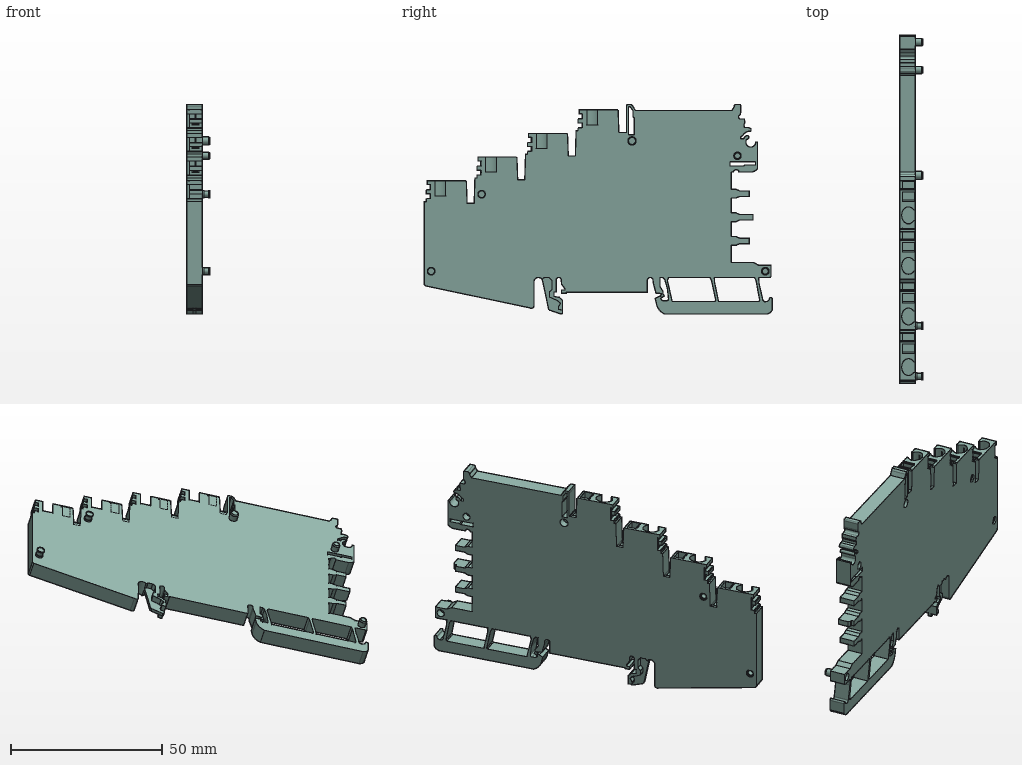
import cadquery as cq

LENGTH = 114.89
HEIGHT = 69.3
THICKNESS = 5.2
PIN_LENGTH = 2.5

TOP_EDGE = 67.3
REAR_WALL = 13.5
BODY_FLOOR = 7.2
RAIL_CEILING = 12.1
FOOT_FLOOR = 4.2

TIER_COUNT = 4
TIER_PITCH = 16.7
TIER_DROP = 7.8
TIER_TOP = 67.5
TIER_LENGTH = 14.2
TIER_CHAMFER = 0.3
SLOT_DEPTH = 7.45
WALL_DRAFT = 0.25
LATCH_FRONT = 48.15
LATCH_BEVEL = 0.15
LIP_SETBACK = 1.0
LIP_HEIGHT = 1.35
RECESS_SETBACK = 1.9
RECESS_BOTTOM = 5.9
SHOULDER_SETBACK = 0.65
SHOULDER_DROP = 6.9

SIDE_WALL = 1.04
THIN_WALL = 0.35
INNER_FACE = THICKNESS - THIN_WALL
RIDGE_TOP = 2.95
RIDGE_BOTTOM = 4.4
RIDGE_SIDE = 0.9
GRIP_BEVEL = 0.25
RECESS_DEPTH = 0.2
POCKET_REAR = 13.0
POCKET_LENGTH = 2.65
POCKET_DEPTH = 5.0
LEDGE_LENGTH = 0.5
LEDGE_DEPTH = 0.4
WIRE_HOLE_SETBACK = 5.35
WIRE_HOLE_X = 2.94
WIRE_HOLE_RADIUS_X = 2.25
WIRE_HOLE_RADIUS_Y = 2.77
WIRE_HOLE_DEPTH = 5.0
WIRE_NOTCH_WIDTH = 3.5
SLOT_POCKET_DEPTH = 1.0
SLIT_WIDTH = 0.35
WINDOW_WIDTH = 2.4
WINDOW_TOP = 4.7
WINDOW_BOTTOM = 5.05
GROOVE_DEPTH = 0.3

TINE_CENTERS = (39.8, 32.0, 24.2)
TINE_ROOT_HALF = 1.5
TINE_TIP_HALF = 0.95
TINE_TIP = 7.55
TINE_OVERLAP = 0.5
TINE_TAPER_START = 12.0
TINE_TAPER_END = 10.8
LONG_TINE_TIP = 6.3
LONG_TINE_CHAMFER = 0.65

CLIP_WEB = 1.04

PLAIN_PINS = ((46.3, 57.2, 2.8), (11.5, 52.3, 2.45), (2.3, 14.2, 2.5))
SNAP_PINS = ((95.95, 39.6), (112.6, 14.2))
PIN_TIP = 0.5
SOCKET_DEPTH = 2.8
SNAP_NECK = 2.2
SNAP_HEAD = 2.5
SNAP_BORE = 1.7
SNAP_COLLAR_LENGTH = 0.6
SNAP_HEAD_LENGTH = 0.4


def side_plane(x=0.0):
    """Profile plane at a given X; extrusion with a negative length goes towards +X."""
    return cq.Workplane(cq.Plane(origin=(x, 0, 0), xDir=(0, -1, 0), normal=(-1, 0, 0)))


def trace(start, steps):
    """Outline from points (u, v) and arcs (middle point, end point)."""
    path = side_plane().moveTo(*start)
    for step in steps:
        if isinstance(step[0], tuple):
            path = path.threePointArc(*step)
        else:
            path = path.lineTo(*step)
    return path.close()


def plate(outline):
    return outline.extrude(-THICKNESS)


def box(x0, x1, u0, u1, v0, v1):
    """Block between X, u and v limits."""
    return cq.Workplane().box(x1 - x0, u1 - u0, v1 - v0, centered=False).translate((x0, -u1, v0))


def tiers():
    """Front face and top height of each tier, from the highest; the lowest ends at the full length."""
    last = TIER_COUNT - 1
    return [(LENGTH - (last - i) * TIER_PITCH, TIER_TOP - i * TIER_DROP) for i in range(TIER_COUNT)]


def tier_steps():
    """Slot floor, tier top and stepped front face, tier by tier."""
    steps = []
    for front, top in tiers():
        rear = front - TIER_LENGTH
        floor = top - SLOT_DEPTH
        steps += [
            (rear, floor),
            (rear + WALL_DRAFT, top - TIER_CHAMFER),
            (rear + WALL_DRAFT + TIER_CHAMFER, top),
            (front - LIP_SETBACK, top),
            (front - LIP_SETBACK, top - LIP_HEIGHT),
            (front - RECESS_SETBACK, top - LIP_HEIGHT),
            (front - RECESS_SETBACK, top - RECESS_BOTTOM),
            (front - SHOULDER_SETBACK - GRIP_BEVEL, top - RECESS_BOTTOM),
            (front - SHOULDER_SETBACK, top - RECESS_BOTTOM - GRIP_BEVEL),
            (front - SHOULDER_SETBACK, top - SHOULDER_DROP),
            (front, top - SHOULDER_DROP),
        ]
        if front < LENGTH:
            steps.append((front + WALL_DRAFT, floor - TIER_DROP))
    return steps


def front_steps():
    """Sloped front underside, front rail clip and rail clearance, ending at the rear clip slot."""
    return [
        (LENGTH, 9.8),
        (114.4, 9.3),
        (80.0, 2.05),
        ((79.0, 2.1), (78.6, 2.9)),
        (78.6, 11.0),
        ((77.3, RAIL_CEILING), (75.9, 11.2)),
        (75.2, 8.0),
        (73.9, 1.75),
        (73.5, 1.3),
        (69.7, 0.0),
        (69.2, 0.3),
        (69.2, 4.55),
        (70.3, 5.6),
        (72.0, 5.9),
        (72.0, 7.3),
        (71.3, 7.3),
        (71.3, 11.3),
        ((70.5, RAIL_CEILING), (69.7, 11.3)),
        (69.6, 9.95),
        (68.5, 8.4),
        (68.5, 8.0),
        (69.65, 8.0),
        (69.65, 6.9),
        (68.0, 6.9),
        (68.0, BODY_FLOOR),
        (41.2, BODY_FLOOR),
        (41.2, 11.4),
        ((40.3, RAIL_CEILING), (39.4, 11.4)),
    ]


def foot_steps():
    """Rear clip tongue, its link to the rail foot, the foot bar and the rear arm."""
    return [
        (39.35, 10.4),
        (38.4, 6.9),
        (37.4, 6.9),
        (36.5, 6.7),
        (37.0, 6.2),
        (36.7, 5.85),
        (37.5, 5.85),
        (38.7, 5.2),
        (38.35, 3.8),
        ((37.6, 1.8), (35.5, 0.0)),
        (1.75, 0.0),
        ((0.7, 0.5), (0.0, 1.4)),
        (0.0, 5.1),
        ((0.5, 5.55), (1.0, 5.1)),
        ((1.4, 4.4), (2.1, FOOT_FLOOR)),
        ((2.8, 4.3), (3.1, 4.8)),
        (4.3, 10.0),
        (4.45, RAIL_CEILING),
        (0.8, RAIL_CEILING),
        (0.4, 12.4),
        (0.4, 16.2),
        (4.5, 16.2),
        (6.2, 17.1),
        (REAR_WALL, 17.1),
    ]


def tine(center):
    """Tapered contact tine on the rear wall."""
    root = REAR_WALL + TINE_OVERLAP
    start = (root, center + TINE_ROOT_HALF)
    return plate(
        trace(
            start,
            [
                (TINE_TAPER_START, center + TINE_ROOT_HALF),
                (TINE_TAPER_END, center + TINE_TIP_HALF),
                (TINE_TIP, center + TINE_TIP_HALF),
                (TINE_TIP, center - TINE_TIP_HALF),
                (TINE_TAPER_END, center - TINE_TIP_HALF),
                (TINE_TAPER_START, center - TINE_ROOT_HALF),
                (root, center - TINE_ROOT_HALF),
            ],
        )
    )


def long_tine_tip():
    """Extension of the middle tine, bevelled towards -X."""
    center = TINE_CENTERS[1]
    bottom = center - TINE_TIP_HALF
    top = center + TINE_TIP_HALF
    tip = box(SIDE_WALL, THICKNESS, LONG_TINE_TIP, TINE_TIP, bottom, top)
    return tip.edges("<X and >Y").chamfer(LONG_TINE_CHAMFER)


def rear_steps():
    """Rear wall above the tines: marker holder, snap teeth and top hook."""
    return [
        (REAR_WALL, 46.9),
        (12.9, 46.9),
        ((12.0, 47.65), (11.1, 47.2)),
        (11.1, 46.9),
        (6.7, 46.9),
        ((5.6, 47.35), (4.85, 48.1)),
        (4.85, 56.9),
        (5.5, 56.9),
        ((7.0, 55.2), (8.65, 56.4)),
        (8.65, 57.5),
        (8.0, 57.9),
        ((7.7, 58.5), (8.3, 59.0)),
        ((8.8, 58.8), (9.4, 57.95)),
        (10.4, 57.95),
        (10.4, 58.6),
        (9.8, 58.9),
        ((9.0, 59.8), (8.0, 60.3)),
        (7.25, 60.35),
        ((6.95, 60.9), (7.25, 61.35)),
        (8.0, 61.7),
        (9.2, 61.7),
        (9.3, 62.6),
        (9.0, 63.2),
        (9.15, 64.45),
        (10.3, 64.45),
        ((11.1, 65.1), (10.6, 65.8)),
        (10.4, 66.5),
        (10.4, 68.9),
        ((10.55, 69.2), (10.85, HEIGHT)),
        (12.0, HEIGHT),
        ((12.4, 69.1), (12.6, 68.5)),
        (13.3, TOP_EDGE),
        (45.2, TOP_EDGE),
    ]


def housing():
    """Full-thickness housing with its tines and through windows."""
    latch = [
        (46.0, 68.7),
        (46.6, HEIGHT),
        (LATCH_FRONT - LATCH_BEVEL, HEIGHT),
        (LATCH_FRONT, 68.65),
        (LATCH_FRONT, TIER_TOP - SLOT_DEPTH),
    ]
    steps = latch + tier_steps() + front_steps() + foot_steps() + rear_steps()[:-1]
    body = plate(trace(rear_steps()[-1], steps))
    for center in TINE_CENTERS:
        body = body.union(tine(center))
    body = body.union(long_tine_tip())
    for window in windows():
        body = body.cut(plate(window))
    return body


def windows():
    """Openings through the housing: latch slot, marker slot, foot windows and clip tongue gap."""
    latch_slot = trace(
        (45.6, 59.3),
        [(47.4, 59.3), (47.4, 68.4), (46.9, 68.4), (46.0, 67.2), (46.0, 65.1), (45.6, 64.9)],
    )
    marker_slot = trace(
        (5.55, 50.3),
        [(13.9, 50.3), (13.9, 49.0), (9.4, 49.0), (9.1, 49.3), (5.55, 49.3)],
    )
    rear_window = trace(
        (5.9, RAIL_CEILING),
        [
            (19.1, RAIL_CEILING),
            (19.0, 10.5),
            (17.7, FOOT_FLOOR),
            (4.5, FOOT_FLOOR),
            (4.2, 4.6),
            (5.4, 11.2),
        ],
    )
    front_window = trace(
        (20.6, RAIL_CEILING),
        [
            (34.2, RAIL_CEILING),
            (34.6, 11.2),
            (33.0, FOOT_FLOOR),
            (19.0, FOOT_FLOOR),
            (18.7, 4.6),
            (20.1, 11.2),
        ],
    )
    tongue_gap = trace(
        (36.1, RAIL_CEILING),
        [
            (37.0, RAIL_CEILING),
            (37.0, 9.1),
            (36.0, 7.5),
            (36.0, 6.7),
            (35.6, 6.0),
            (36.4, 5.5),
            (36.8, 5.3),
            (36.6, 4.8),
            (36.1, 4.5),
            (34.9, 4.5),
            ((34.5, 4.6), (34.3, 5.1)),
            (34.65, 8.4),
            (35.5, 11.4),
        ],
    )
    return [latch_slot, marker_slot, rear_window, front_window, tongue_gap]


def cut_pocket(body, front, top):
    """Square pocket with a shallow ledge along its front edge."""
    rear = front - POCKET_REAR
    ledge = rear + POCKET_LENGTH
    body = body.cut(box(SIDE_WALL, INNER_FACE, rear, ledge, top - POCKET_DEPTH, top))
    return body.cut(box(SIDE_WALL, INNER_FACE, ledge, ledge + LEDGE_LENGTH, top - LEDGE_DEPTH, top))


def cut_wire_hole(body, front, top):
    """Oval blind hole with a notch that opens it through the +X wall."""
    center = front - WIRE_HOLE_SETBACK
    half_notch = WIRE_NOTCH_WIDTH / 2
    floor = top - WIRE_HOLE_DEPTH
    body = body.cut(box(WIRE_HOLE_X, THICKNESS, center - half_notch, center + half_notch, floor, top))
    hole = cq.Workplane(origin=(WIRE_HOLE_X, -center, top))
    return body.cut(hole.ellipse(WIRE_HOLE_RADIUS_X, WIRE_HOLE_RADIUS_Y).extrude(-WIRE_HOLE_DEPTH))


def cut_slot_pocket(body, front, top):
    """Shallow pocket in the floor of the slot behind the tier."""
    wall = front - TIER_LENGTH
    slot_rear = front - TIER_PITCH + WALL_DRAFT
    floor = top - SLOT_DEPTH
    return body.cut(box(SIDE_WALL, INNER_FACE, slot_rear, wall, floor - SLOT_POCKET_DEPTH, floor))


def cut_recess_grooves(body, face, top):
    """Upright slit above the ridge and narrow window below it, in the recess of the upper tiers."""
    deep = face - GROOVE_DEPTH

    def groove(width, lower, upper):
        return box(WIRE_HOLE_X - width / 2, WIRE_HOLE_X + width / 2, deep, face, top - lower, top - upper)

    body = body.cut(groove(SLIT_WIDTH, RIDGE_TOP, LIP_HEIGHT))
    return body.cut(groove(WINDOW_WIDTH, WINDOW_BOTTOM, WINDOW_TOP))


def shape_front_recess(body, front, top):
    """Deepen the front recess beside the -X wall and add its grip ridge."""
    face = front - RECESS_SETBACK
    back = face - RECESS_DEPTH
    body = body.cut(box(SIDE_WALL, THICKNESS, back, face, top - RECESS_BOTTOM, top - LIP_HEIGHT))
    if front < LENGTH:
        body = cut_recess_grooves(body, back, top)
    ridge_front = front - SHOULDER_SETBACK
    ridge = box(RIDGE_SIDE, THICKNESS, back, ridge_front, top - RIDGE_BOTTOM, top - RIDGE_TOP)
    return body.union(ridge.edges("<Y and >Z").chamfer(GRIP_BEVEL))


def shape_tiers(body):
    for front, top in tiers():
        body = cut_pocket(body, front, top)
        body = cut_wire_hole(body, front, top)
        body = cut_slot_pocket(body, front, top)
        body = shape_front_recess(body, front, top)
    return body


def cut_clip_web(body):
    """Thin both sides of the front clip to a central web, leaving its hook edge full."""
    outline = trace(
        (75.3, RAIL_CEILING),
        [
            (73.7, RAIL_CEILING),
            (72.7, 11.1),
            (72.7, 8.2),
            (73.6, 7.3),
            (73.6, 5.7),
            (70.9, 4.5),
            (69.9, 3.6),
            (70.6, 2.4),
            (70.5, 1.6),
            (69.2, 1.3),
            (69.2, 0.0),
            (74.0, 0.0),
            (76.5, 11.0),
        ],
    )
    recess = (THICKNESS - CLIP_WEB) / 2
    cutter = outline.extrude(-recess)
    return body.cut(cutter).cut(cutter.translate((recess + CLIP_WEB, 0, 0)))


def disc(u, v, diameter, x, length):
    """Cylinder along +X starting at x."""
    return side_plane(x).center(u, v).circle(diameter / 2).extrude(-length)


def add_pins(body):
    """Alignment pins on the +X face, each with a matching socket on the -X face."""
    for u, v, diameter in PLAIN_PINS:
        body = body.cut(disc(u, v, diameter, 0, SOCKET_DEPTH))
        pin = disc(u, v, diameter, THICKNESS, PIN_LENGTH)
        body = body.union(pin.faces(">X").chamfer(PIN_TIP, PIN_TIP / 2))
    head_start = PIN_LENGTH - SNAP_HEAD_LENGTH
    for u, v in SNAP_PINS:
        body = body.cut(disc(u, v, SNAP_HEAD, 0, SNAP_COLLAR_LENGTH))
        body = body.cut(disc(u, v, SNAP_BORE, 0, SOCKET_DEPTH))
        body = body.union(disc(u, v, SNAP_NECK, THICKNESS, PIN_LENGTH))
        body = body.union(disc(u, v, SNAP_HEAD, THICKNESS, SNAP_COLLAR_LENGTH))
        body = body.union(disc(u, v, SNAP_HEAD, THICKNESS + head_start, SNAP_HEAD_LENGTH))
    return body


result = housing()
result = shape_tiers(result)
result = cut_clip_web(result)
result = add_pins(result)